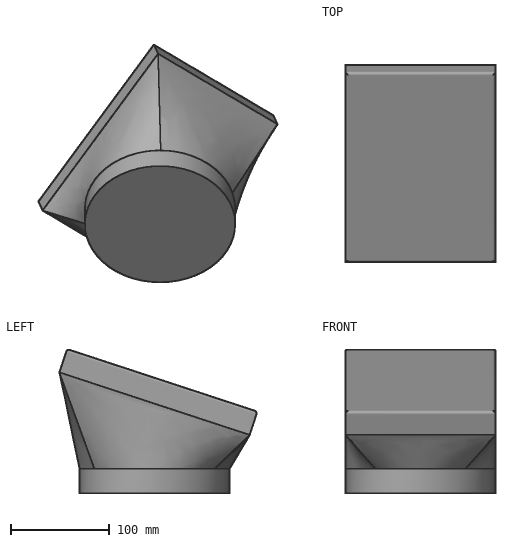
import cadquery as cq
import math

collar_diameter = 152.5
collar_height = 25.0

panel_width = collar_diameter
panel_length = 203.3
panel_thickness = 25.0
panel_tilt = 18.2
panel_edge_radius = 3.0
panel_low_edge_z = 59.2

panel_center_z = panel_low_edge_z + panel_length / 2 * math.sin(math.radians(panel_tilt))


def panel_plane():
    """Plane of the panel's underside, with its normal pointing out of the panel's top."""
    return cq.Plane(origin=(0, 0, panel_center_z)).rotated((panel_tilt, 0, 0))


def make_collar():
    """Plain disc standing on the XY plane."""
    return cq.Workplane("XY").circle(collar_diameter / 2).extrude(collar_height)


def make_transition():
    """Loft from the collar's round top to the panel's rectangular underside."""
    round_end = cq.Workplane("XY", origin=(0, 0, collar_height)).circle(collar_diameter / 2)
    square_end = cq.Workplane(panel_plane()).rect(panel_width, panel_length)
    solid = cq.Solid.makeLoft([round_end.wire().val(), square_end.wire().val()])
    return cq.Workplane("XY").newObject([solid])


def make_panel():
    """Rectangular slab with rounded edges all around its top face."""
    slab = cq.Workplane(panel_plane()).rect(panel_width, panel_length).extrude(panel_thickness)
    top_face = cq.selectors.DirectionMinMaxSelector(panel_plane().zDir)
    return slab.faces(top_face).edges().fillet(panel_edge_radius)


collar = make_collar()
transition = make_transition()
panel = make_panel()

result = cq.Compound.makeCompound([collar.val(), transition.val(), panel.val()])